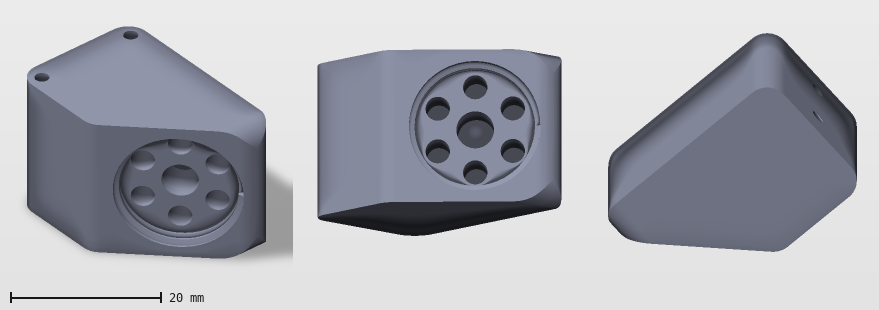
import cadquery as cq
import math

length = 30.0
width = 19.6
height = 20.6
bevel = 15.0
edge_radius = 3.0

socket_offset = 8.35
socket_radius = 8.73
socket_depth = 3.0
crest_radius = 8.0
thread_pitch = 1.25
crest_width = 0.3
flank_width = 0.4
thread_overlap = 0.1

center_hole_diameter = 5.0
ring_hole_diameter = 3.25
ring_hole_count = 6
ring_radius = 5.75
floor_hole_depth = 6.0

screw_diameter = 2.0
screw_depth = 6.0
drill_tip_angle = 118.0
top_hole_x = 2.5
top_hole_inset = 2.13
side_hole_spacing = 10.0

socket_plane = cq.Plane(
    origin=(length - bevel + socket_offset, socket_offset, height / 2),
    xDir=(1, 1, 0),
    normal=(-1, 1, 0),
)


def make_block():
    outline = [
        (0, 0),
        (length - bevel, 0),
        (length, bevel),
        (length, width),
        (0, width),
    ]
    block = cq.Workplane("XY").polyline(outline).close().extrude(height)
    block = block.edges("|Z").fillet(edge_radius)
    end_profile = (
        cq.Workplane("XZ").rect(2 * length, height).extrude(-width)
        .translate((0, 0, height / 2))
        .edges("|Y and >X").fillet(edge_radius)
    )
    return block.intersect(end_profile)


def make_thread():
    """Right-handed internal ridge, starting at the socket mouth and ending under its floor."""
    root_radius = socket_radius + thread_overlap
    flank_overlap = flank_width * thread_overlap / (socket_radius - crest_radius)
    root_start = -flank_overlap
    root_end = 2 * flank_width + crest_width + flank_overlap
    profile = (
        cq.Workplane("XZ")
        .moveTo(root_radius, root_start)
        .lineTo(crest_radius, flank_width)
        .lineTo(crest_radius, flank_width + crest_width)
        .lineTo(root_radius, root_end)
        .close()
    )
    path = cq.Wire.makeHelix(thread_pitch, socket_depth + thread_pitch / 4, crest_radius)
    ridge = profile.sweep(cq.Workplane(obj=path), isFrenet=True)
    envelope = cq.Workplane("XY").circle(root_radius + 0.3).extrude(2 * socket_depth)
    ridge = ridge.intersect(envelope)
    return cq.Workplane(obj=ridge.val().moved(cq.Location(socket_plane)))


def floor_holes():
    floor = cq.Workplane(socket_plane).workplane(offset=socket_depth)
    center = floor.circle(center_hole_diameter / 2).extrude(floor_hole_depth)
    ring = (
        floor.polarArray(ring_radius, 90, 360, ring_hole_count)
        .circle(ring_hole_diameter / 2)
        .extrude(floor_hole_depth)
    )
    return center.union(ring)


def screw_hole(position, direction):
    radius = screw_diameter / 2
    tip_length = radius / math.tan(math.radians(drill_tip_angle / 2))
    profile = [(0, 0), (radius, 0), (radius, screw_depth), (0, screw_depth + tip_length)]
    drill = cq.Workplane("XZ").polyline(profile).close().revolve(360, (0, 0), (0, 1))
    plane = cq.Plane(origin=position, normal=direction)
    return cq.Workplane(obj=drill.val().moved(cq.Location(plane)))


socket = cq.Workplane(socket_plane).circle(socket_radius).extrude(socket_depth)
result = make_block().cut(socket).union(make_thread()).cut(floor_holes())

for y in (top_hole_inset, width - top_hole_inset):
    result = result.cut(screw_hole((top_hole_x, y, height), (0, 0, -1)))

for side in (-1, 1):
    z = height / 2 + side * side_hole_spacing / 2
    result = result.cut(screw_hole((0, width / 2, z), (1, 0, 0)))